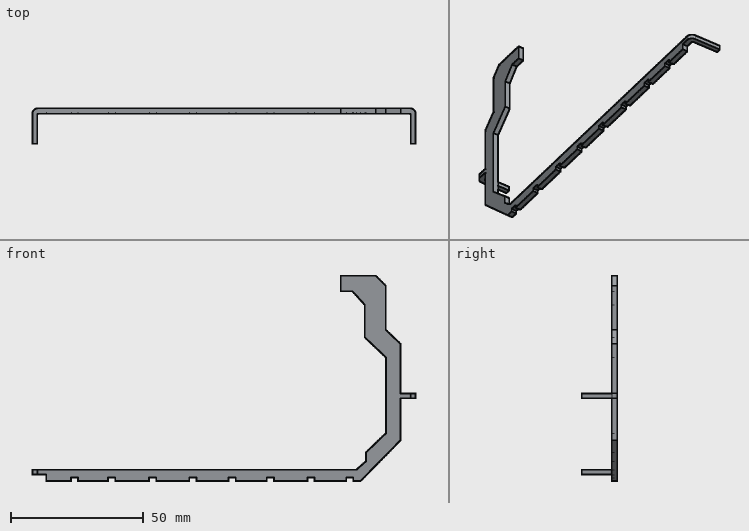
import cadquery as cq

length = 144.4
depth = 13.5
height = 77.4

plate_thickness = 2.2
tab_thickness = 1.9
tab_height = 1.9
inner_bend_radius = 0.3
outer_bend_radius = tab_thickness + inner_bend_radius

strip_start = 5.2
strip_top = 4.3
right_tab_bottom = 31.2

outer_x = 138.8
inner_x = 133.1
neck_x = 125.2
hook_tip_x = 116.1
hook_bottom = 71.5

notch_depth = 1.3
notch_width = 2.6
notch_centers = [15.9, 29.9, 45.3, 60.5, 75.2, 89.7, 105.0, 119.5]


def make_plate():
    """Flat strip and upright bracket; the back face lies on Y = depth."""
    outline = [
        (strip_start, 0),
        (123.6, 0),
        (outer_x, 15.5),
        (outer_x, 51.7),
        (inner_x, 57.0),
        (inner_x, 73.6),
        (129.4, height),
        (hook_tip_x, height),
        (hook_tip_x, hook_bottom),
        (120.6, hook_bottom),
        (neck_x, 66.4),
        (neck_x, 54.2),
        (inner_x, 46.6),
        (inner_x, 18.0),
        (125.6, 10.8),
        (125.6, 7.5),
        (122.0, strip_top),
        (strip_start, strip_top),
    ]
    plate = cq.Workplane("XZ", origin=(0, depth, 0)).polyline(outline).close()
    return plate.extrude(plate_thickness)


def make_tab(end_x, inward, attach_x, bottom):
    """Tab leaving the plate at attach_x and bending to -Y at end_x; inward is +1 or -1 along X."""
    front_face = depth - plate_thickness
    leg_inner_x = end_x + inward * tab_thickness
    bend_x = end_x + inward * outer_bend_radius
    outer_bend_y = depth - outer_bend_radius
    inner_bend_y = front_face - inner_bend_radius
    return (
        cq.Workplane("XY", origin=(0, 0, bottom))
        .moveTo(end_x, 0)
        .lineTo(end_x, outer_bend_y)
        .tangentArcPoint((bend_x, depth), relative=False)
        .lineTo(attach_x, depth)
        .lineTo(attach_x, front_face)
        .lineTo(bend_x, front_face)
        .tangentArcPoint((leg_inner_x, inner_bend_y), relative=False)
        .lineTo(leg_inner_x, 0)
        .close()
        .extrude(tab_height)
    )


def make_notch_cutters():
    """Boxes that cut the notches through the full plate thickness."""
    return (
        cq.Workplane("XY")
        .pushPoints([(x, depth - plate_thickness / 2) for x in notch_centers])
        .rect(notch_width, plate_thickness)
        .extrude(notch_depth)
    )


left_tab = make_tab(0, 1, strip_start, strip_top - tab_height)
right_tab = make_tab(length, -1, outer_x, right_tab_bottom)

result = make_plate().union(left_tab).union(right_tab).cut(make_notch_cutters())